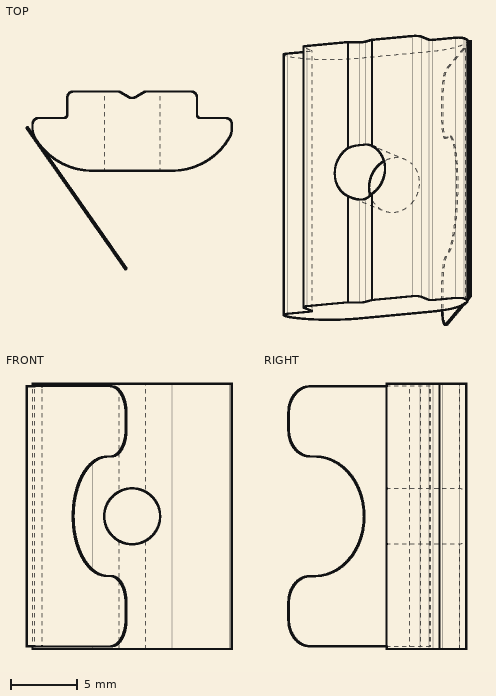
import cadquery as cq
import math


body_length = 20.0
body_width = 15.04
body_height = 6.0
neck_width = 9.8
neck_height = 2.0
flat_width = 6.0
flank_radius = 5.0
flank_end_angle = 30.0
corner_radius = 0.5
neck_root_radius = 0.2

groove_width = 2.0
groove_angle = 120.0
groove_root_radius = 0.5

hole_diameter = 4.2

leaf_length = 13.0
leaf_width = 19.6
leaf_thickness = 0.1
leaf_angle = 35.0
leaf_overhang = 1.4
leaf_embed = 0.025
leaf_tip_radius = 2.0
cutout_radius = 4.5
cutout_floor = 6.05


def polar(center, radius, degrees):
    """Point at an angle measured from +X towards -Y."""
    angle = math.radians(degrees)
    return (center[0] + radius * math.cos(angle), center[1] - radius * math.sin(angle))


def make_half_body():
    """The +X half of the nut, with its flat side on the plane X = 0."""
    half_width = body_width / 2
    half_neck = neck_width / 2
    shoulder_y = body_height - neck_height
    groove_half_width = groove_width / 2
    groove_depth = groove_half_width / math.tan(math.radians(groove_angle / 2))

    flank_center = (flat_width / 2, flank_radius)
    flank_start = (flat_width / 2, 0)
    flank_end = polar(flank_center, flank_radius, flank_end_angle)
    flank_middle = polar(flank_center, flank_radius, (90 + flank_end_angle) / 2)

    cosine = math.cos(math.radians(flank_end_angle))
    edge_reach = half_width - flank_center[0]
    edge_radius = (edge_reach - flank_radius * cosine) / (1 - cosine)
    edge_center = polar(flank_center, flank_radius - edge_radius, flank_end_angle)
    edge_middle = polar(edge_center, edge_radius, flank_end_angle / 2)
    edge_top = polar(edge_center, edge_radius, 0)

    half = (
        cq.Workplane("XY", origin=(0, 0, -body_length / 2))
        .moveTo(0, 0)
        .lineTo(*flank_start)
        .threePointArc(flank_middle, flank_end)
        .threePointArc(edge_middle, edge_top)
        .lineTo(half_width, shoulder_y)
        .lineTo(half_neck, shoulder_y)
        .lineTo(half_neck, body_height)
        .lineTo(groove_half_width, body_height)
        .lineTo(0, body_height - groove_depth)
        .close()
        .extrude(body_length)
    )
    for corner in ((half_width, shoulder_y), (half_neck, body_height)):
        half = half.edges(cq.selectors.NearestToPointSelector((*corner, 0))).fillet(corner_radius)
    neck_root = cq.selectors.NearestToPointSelector((half_neck, shoulder_y, 0))
    return half.edges(neck_root).fillet(neck_root_radius)


def make_body():
    half = make_half_body()
    body = half.union(half.mirror("YZ"))
    groove_root = cq.selectors.NearestToPointSelector((0, body_height, 0))
    body = body.edges(groove_root).fillet(groove_root_radius)
    hole = (
        cq.Workplane("XZ")
        .circle(hole_diameter / 2)
        .extrude(-body_height)
    )
    return body.cut(hole)


def make_leaf():
    """Flat leaf with a round-bottomed cutout between two prongs, set against the -X flank."""
    flank_center = (-flat_width / 2, flank_radius)
    touch_angle = 180 - leaf_angle
    touch_point = polar(flank_center, flank_radius - leaf_embed, touch_angle)
    outward = polar((0, 0), 1, touch_angle)
    along = polar((0, 0), 1, 90 - leaf_angle)
    start = (
        touch_point[0] - leaf_overhang * along[0],
        touch_point[1] - leaf_overhang * along[1],
    )

    plane = cq.Plane(
        origin=(start[0], start[1], 0),
        xDir=(along[0], along[1], 0),
        normal=(outward[0], outward[1], 0),
    )
    half_width = leaf_width / 2
    cutout_center = cutout_floor + cutout_radius
    leaf = (
        cq.Workplane(plane)
        .moveTo(0, -half_width)
        .lineTo(leaf_length, -half_width)
        .lineTo(leaf_length, -cutout_radius)
        .lineTo(cutout_center, -cutout_radius)
        .threePointArc((cutout_floor, 0), (cutout_center, cutout_radius))
        .lineTo(leaf_length, cutout_radius)
        .lineTo(leaf_length, half_width)
        .lineTo(0, half_width)
        .close()
        .extrude(leaf_thickness)
    )
    for side in (-1, 1):
        for distance in (cutout_radius, half_width):
            corner = plane.toWorldCoords((leaf_length, side * distance, leaf_thickness / 2))
            tip_edge = cq.selectors.NearestToPointSelector(corner.toTuple())
            leaf = leaf.edges(tip_edge).fillet(leaf_tip_radius)
    return leaf


result = make_body().union(make_leaf())